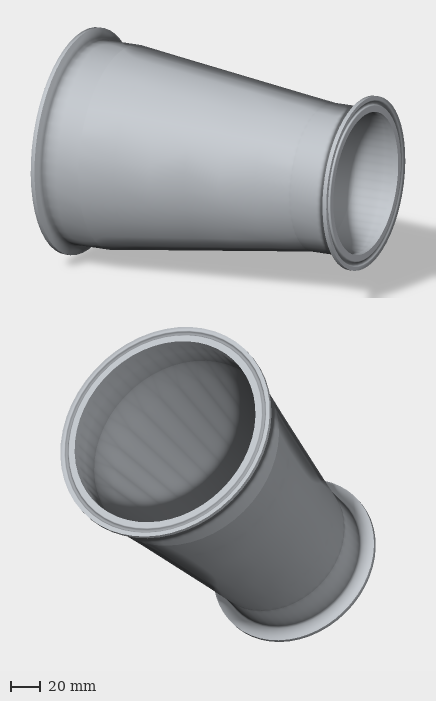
import cadquery as cq
import math


LARGE_TUBE_DIAMETER = 139.8
LARGE_BORE_DIAMETER = 133.8
SMALL_TUBE_DIAMETER = 101.6
SMALL_BORE_DIAMETER = 97.6
TUBE_LENGTH = 25.0
CONE_LENGTH = 150.0

LARGE_FLANGE_DIAMETER = 155.0
SMALL_FLANGE_DIAMETER = 119.0
FLANGE_LENGTH = 7.0
RIM_WIDTH = 2.85
BACK_SLOPE = math.radians(20.0)

GROOVE_INSET = 4.5
GROOVE_WIDTH = 4.0
GROOVE_FLOOR_RADIUS = 1.2
GROOVE_EDGE_RADIUS = 0.8
GROOVE_FLANK_ANGLE = math.radians(70.0)

LARGE_END = 0.0
CONE_START = LARGE_END + FLANGE_LENGTH + TUBE_LENGTH
CONE_END = CONE_START + CONE_LENGTH
SMALL_END = CONE_END + TUBE_LENGTH + FLANGE_LENGTH

AXIS_START = (0, 0, 0)
AXIS_END = (1, 0, 0)


def revolve_about_x(profile):
    """Turn a closed (x, radius) profile, drawn in the XZ plane, into a solid of revolution."""
    return profile.close().revolve(360, AXIS_START, AXIS_END)


def reducer_body():
    """Both straight tubes and the cone between them, hollow throughout."""
    large_outer = LARGE_TUBE_DIAMETER / 2
    large_inner = LARGE_BORE_DIAMETER / 2
    small_outer = SMALL_TUBE_DIAMETER / 2
    small_inner = SMALL_BORE_DIAMETER / 2
    profile = (
        cq.Workplane("XZ")
        .moveTo(LARGE_END, large_inner)
        .lineTo(LARGE_END, large_outer)
        .lineTo(CONE_START, large_outer)
        .lineTo(CONE_END, small_outer)
        .lineTo(SMALL_END, small_outer)
        .lineTo(SMALL_END, small_inner)
        .lineTo(CONE_END, small_inner)
        .lineTo(CONE_START, large_inner)
    )
    return revolve_about_x(profile)


def clamp_flange(face_x, inward, flange_diameter, tube_diameter, bore_diameter):
    """Flange with a sloped back that blends into the tube.

    inward is +1 or -1: the direction along X from the flange face into the part.
    """
    rim_radius = flange_diameter / 2
    tube_radius = tube_diameter / 2

    height = rim_radius - tube_radius
    slope_rise = height * math.tan(BACK_SLOPE)
    blend_rise = math.cos(BACK_SLOPE) - (1 - math.sin(BACK_SLOPE)) * math.tan(BACK_SLOPE)
    blend_radius = (FLANGE_LENGTH - RIM_WIDTH - slope_rise) / blend_rise

    def blend_point(angle):
        depth = FLANGE_LENGTH - blend_radius * math.sin(angle)
        radius = tube_radius + blend_radius * (1 - math.cos(angle))
        return face_x + inward * depth, radius

    blend_sweep = math.pi / 2 - BACK_SLOPE
    profile = (
        cq.Workplane("XZ")
        .moveTo(face_x, bore_diameter / 2)
        .lineTo(face_x, rim_radius)
        .lineTo(face_x + inward * RIM_WIDTH, rim_radius)
        .lineTo(*blend_point(blend_sweep))
        .threePointArc(blend_point(blend_sweep / 2), blend_point(0))
        .lineTo(face_x + inward * FLANGE_LENGTH, bore_diameter / 2)
    )
    return revolve_about_x(profile)


def gasket_groove(face_x, inward, flange_diameter):
    """Ring cutter with a round floor, straight flanks and rounded edges."""
    middle = flange_diameter / 2 - GROOVE_INSET
    edge_across = GROOVE_EDGE_RADIUS * math.sin(GROOVE_FLANK_ANGLE)
    edge_depth = GROOVE_EDGE_RADIUS * (1 - math.cos(GROOVE_FLANK_ANGLE))
    floor_across = GROOVE_FLOOR_RADIUS * math.sin(GROOVE_FLANK_ANGLE)
    floor_depth = GROOVE_FLOOR_RADIUS * (1 - math.cos(GROOVE_FLANK_ANGLE))
    flank_across = GROOVE_WIDTH / 2 - edge_across - floor_across
    flank_end_depth = edge_depth + flank_across * math.tan(GROOVE_FLANK_ANGLE)
    groove_depth = flank_end_depth + floor_depth

    def edge_point(side, angle):
        across = GROOVE_WIDTH / 2 - GROOVE_EDGE_RADIUS * math.sin(angle)
        depth = GROOVE_EDGE_RADIUS * (1 - math.cos(angle))
        return face_x + inward * depth, middle + side * across

    def flank_end(side):
        return face_x + inward * flank_end_depth, middle + side * floor_across

    floor_point = (face_x + inward * groove_depth, middle)
    half_flank = GROOVE_FLANK_ANGLE / 2
    profile = (
        cq.Workplane("XZ")
        .moveTo(*edge_point(-1, 0))
        .threePointArc(edge_point(-1, half_flank), edge_point(-1, GROOVE_FLANK_ANGLE))
        .lineTo(*flank_end(-1))
        .threePointArc(floor_point, flank_end(1))
        .lineTo(*edge_point(1, GROOVE_FLANK_ANGLE))
        .threePointArc(edge_point(1, half_flank), edge_point(1, 0))
    )
    return revolve_about_x(profile)


large_flange = clamp_flange(
    LARGE_END, 1, LARGE_FLANGE_DIAMETER, LARGE_TUBE_DIAMETER, LARGE_BORE_DIAMETER
)
small_flange = clamp_flange(
    SMALL_END, -1, SMALL_FLANGE_DIAMETER, SMALL_TUBE_DIAMETER, SMALL_BORE_DIAMETER
)

result = (
    reducer_body()
    .union(large_flange)
    .union(small_flange)
    .cut(gasket_groove(LARGE_END, 1, LARGE_FLANGE_DIAMETER))
    .cut(gasket_groove(SMALL_END, -1, SMALL_FLANGE_DIAMETER))
)